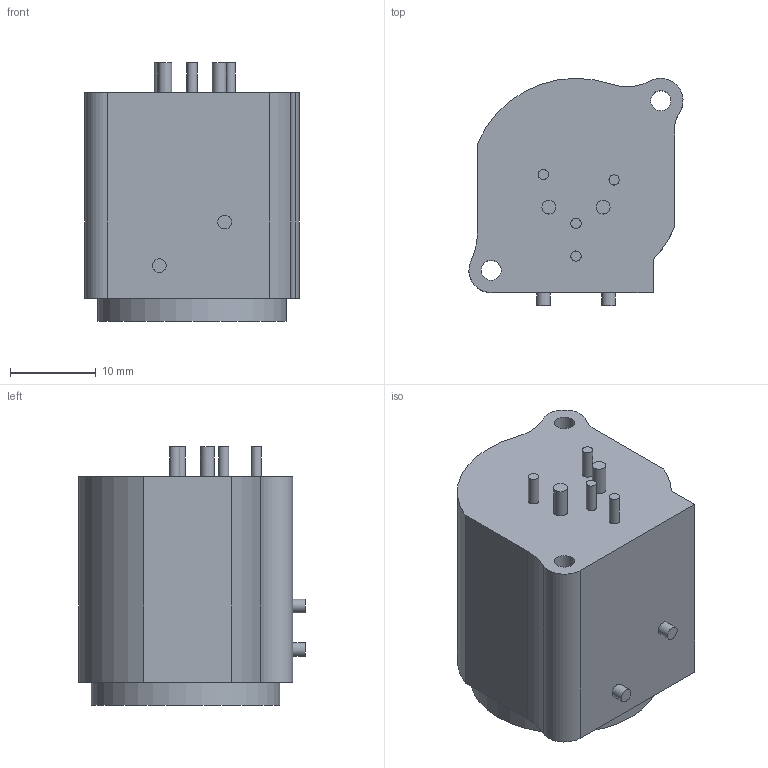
import cadquery as cq
import math

BODY_RADIUS = 12.5
BODY_HEIGHT = 24.0
SIDE_FLAT_X = 11.5
FRONT_FLAT_Y = -BODY_RADIUS
FRONT_CORNER_X = 9.0

LUG_RADIUS = 2.6
LUG_HOLE_DIAMETER = 2.35
LUG_PITCH_RADIUS = 14.0
LUG_ANGLE = math.radians(45)
LUG_OFFSET = LUG_PITCH_RADIUS * math.cos(LUG_ANGLE)

REAR_BLEND_RADIUS = 6.0
RIGHT_BLEND_RADIUS = 3.0
LEFT_BLEND_RADIUS = 8.0

SPIGOT_DIAMETER = 22.0
SPIGOT_HEIGHT = 2.7

GRID = 0.635
SMALL_PIN_DIAMETER = 1.2
LARGE_PIN_DIAMETER = 1.6
TOP_PIN_LENGTH = 3.5
SIDE_PIN_LENGTH = 1.5
PIN_EMBED = 1.0

SMALL_TOP_PINS = [(-6, 2), (7, 1), (0, -7), (0, -13)]
LARGE_TOP_PINS = [(-5, -4), (5, -4)]
SIDE_PINS = [(-6, 6), (6, 14)]


def circle_point(center, radius, angle):
    """Point on a circle at the given angle in radians."""
    return (center[0] + radius * math.cos(angle), center[1] + radius * math.sin(angle))


def toward(start, target, distance):
    """Point at a distance from start along the direction to target."""
    angle = math.atan2(target[1] - start[1], target[0] - start[0])
    return circle_point(start, distance, angle)


def arc_middle(center, radius, start, end):
    """Middle point of the shorter arc between two points of a circle."""
    chord_middle = ((start[0] + end[0]) / 2, (start[1] + end[1]) / 2)
    return toward(center, chord_middle, radius)


def flat_blend_center(blend_radius):
    """Centre of a blend touching the right flat and the rear lug on its front side."""
    x = SIDE_FLAT_X + blend_radius
    y = LUG_OFFSET - math.sqrt((LUG_RADIUS + blend_radius) ** 2 - (x - LUG_OFFSET) ** 2)
    return (x, y)


def rear_blend_center():
    """Centre of the blend touching the round body and the rear lug on its left side."""
    to_body = BODY_RADIUS + REAR_BLEND_RADIUS
    to_lug = LUG_RADIUS + REAR_BLEND_RADIUS
    cosine = (to_body**2 + LUG_PITCH_RADIUS**2 - to_lug**2) / (2 * to_body * LUG_PITCH_RADIUS)
    return circle_point((0, 0), to_body, LUG_ANGLE + math.acos(cosine))


def make_housing():
    axis = (0, 0)
    rear_lug = (LUG_OFFSET, LUG_OFFSET)
    front_lug = (-LUG_OFFSET, -LUG_OFFSET)

    rear_blend = rear_blend_center()
    rear_blend_on_body = toward(axis, rear_blend, BODY_RADIUS)
    rear_blend_on_lug = toward(rear_lug, rear_blend, LUG_RADIUS)
    right_blend = flat_blend_center(RIGHT_BLEND_RADIUS)
    right_blend_on_lug = toward(rear_lug, right_blend, LUG_RADIUS)
    right_blend_on_flat = (SIDE_FLAT_X, right_blend[1])
    rear_lug_tip = circle_point(rear_lug, LUG_RADIUS, LUG_ANGLE)

    mirrored_blend = flat_blend_center(LEFT_BLEND_RADIUS)
    left_blend = (-mirrored_blend[0], -mirrored_blend[1])
    left_blend_on_lug = toward(front_lug, left_blend, LUG_RADIUS)
    left_blend_on_flat = (-SIDE_FLAT_X, left_blend[1])
    front_lug_tip = circle_point(front_lug, LUG_RADIUS, LUG_ANGLE + math.pi)
    front_lug_end = (front_lug[0], FRONT_FLAT_Y)

    flat_end_y = math.sqrt(BODY_RADIUS**2 - SIDE_FLAT_X**2)
    left_flat_end = (-SIDE_FLAT_X, flat_end_y)
    right_flat_end = (SIDE_FLAT_X, -flat_end_y)
    notch_corner = (FRONT_CORNER_X, -math.sqrt(BODY_RADIUS**2 - FRONT_CORNER_X**2))

    return (
        cq.Workplane("XY")
        .moveTo(*front_lug_end)
        .lineTo(FRONT_CORNER_X, FRONT_FLAT_Y)
        .lineTo(*notch_corner)
        .threePointArc(arc_middle(axis, BODY_RADIUS, notch_corner, right_flat_end), right_flat_end)
        .lineTo(*right_blend_on_flat)
        .threePointArc(
            arc_middle(right_blend, RIGHT_BLEND_RADIUS, right_blend_on_flat, right_blend_on_lug),
            right_blend_on_lug,
        )
        .threePointArc(rear_lug_tip, rear_blend_on_lug)
        .threePointArc(
            arc_middle(rear_blend, REAR_BLEND_RADIUS, rear_blend_on_lug, rear_blend_on_body),
            rear_blend_on_body,
        )
        .threePointArc(arc_middle(axis, BODY_RADIUS, rear_blend_on_body, left_flat_end), left_flat_end)
        .lineTo(*left_blend_on_flat)
        .threePointArc(
            arc_middle(left_blend, LEFT_BLEND_RADIUS, left_blend_on_flat, left_blend_on_lug),
            left_blend_on_lug,
        )
        .threePointArc(front_lug_tip, front_lug_end)
        .close()
        .extrude(BODY_HEIGHT)
    )


def make_lug_holes():
    return (
        cq.Workplane("XY")
        .pushPoints([(LUG_OFFSET, LUG_OFFSET), (-LUG_OFFSET, -LUG_OFFSET)])
        .circle(LUG_HOLE_DIAMETER / 2)
        .extrude(BODY_HEIGHT)
    )


def make_spigot():
    return cq.Workplane("XY").circle(SPIGOT_DIAMETER / 2).extrude(-SPIGOT_HEIGHT)


def make_pins(base_plane, grid_positions, diameter, exposed_length):
    """Pins rising from a plane that lies PIN_EMBED below the housing surface."""
    points = [(column * GRID, row * GRID) for column, row in grid_positions]
    return (
        cq.Workplane(base_plane)
        .pushPoints(points)
        .circle(diameter / 2)
        .extrude(PIN_EMBED + exposed_length)
    )


top_pin_base = cq.Plane.XY(origin=(0, 0, BODY_HEIGHT - PIN_EMBED))
side_pin_base = cq.Plane.XZ(origin=(0, FRONT_FLAT_Y + PIN_EMBED, 0))

result = (
    make_housing()
    .cut(make_lug_holes())
    .union(make_spigot())
    .union(make_pins(top_pin_base, SMALL_TOP_PINS, SMALL_PIN_DIAMETER, TOP_PIN_LENGTH))
    .union(make_pins(top_pin_base, LARGE_TOP_PINS, LARGE_PIN_DIAMETER, TOP_PIN_LENGTH))
    .union(make_pins(side_pin_base, SIDE_PINS, LARGE_PIN_DIAMETER, SIDE_PIN_LENGTH))
)